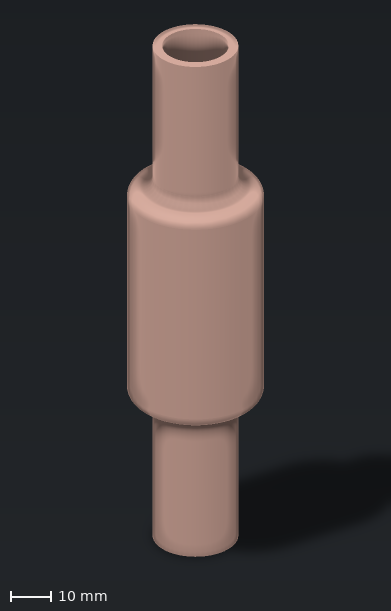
import cadquery as cq

TUBE_LENGTH = 140.0
TUBE_DIAMETER = 21.3
BORE_DIAMETER = 16.5
BODY_DIAMETER = 34.0
BODY_LENGTH = 60.0

EDGE_RADIUS = 3.0
ROOT_RADIUS = 3.0


def centred_cylinder(diameter, length):
    """Cylinder along Z, centred on the origin."""
    return cq.Workplane("XY").cylinder(length, diameter / 2)


def rounded_body():
    """Thick middle section with both outer rims rounded."""
    body = centred_cylinder(BODY_DIAMETER, BODY_LENGTH)
    return body.faces("|Z").edges().fillet(EDGE_RADIUS)


def root_flare(end):
    """Ring with a concave outside, blending the tube into one end of the body (end = 1 or -1)."""
    bore_radius = BORE_DIAMETER / 2
    tube_radius = TUBE_DIAMETER / 2
    flare_radius = tube_radius + ROOT_RADIUS
    shoulder = BODY_LENGTH / 2
    flare_top = shoulder + ROOT_RADIUS
    arc_offset = ROOT_RADIUS * (1 - 0.5 ** 0.5)
    return (
        cq.Workplane("XZ")
        .moveTo(bore_radius, end * shoulder)
        .lineTo(flare_radius, end * shoulder)
        .threePointArc(
            (tube_radius + arc_offset, end * (shoulder + arc_offset)),
            (tube_radius, end * flare_top),
        )
        .lineTo(bore_radius, end * flare_top)
        .close()
        .revolve(360, (0, 0, 0), (0, 1, 0))
    )


part = centred_cylinder(TUBE_DIAMETER, TUBE_LENGTH).union(rounded_body())
for end in (1, -1):
    part = part.union(root_flare(end))

result = part.cut(centred_cylinder(BORE_DIAMETER, TUBE_LENGTH))